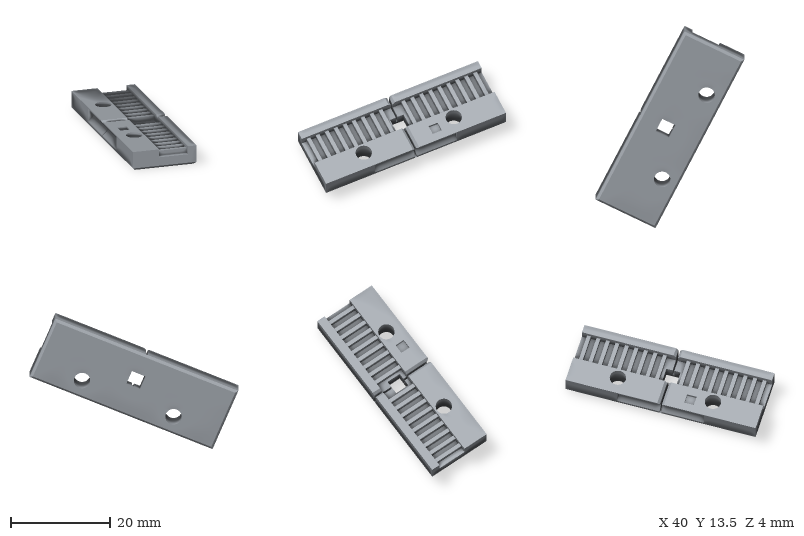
import cadquery as cq

LENGTH = 40.0
WIDTH = 13.5
HEIGHT = 4.0
BOTTOM_CHAMFER = 0.5

CHANNEL_FRONT = 5.5
CHANNEL_WIDTH = 6.2
CHANNEL_FLOOR = 2.3

TOOTH_PITCH = 2.0
TOOTH_WIDTH = 0.8
TOOTH_HEIGHT = 1.0
TEETH_PER_SIDE = 9
CENTRE_TO_FIRST_TOOTH = 2.1

SLOT_WIDTH = 0.4
SLOT_FLOOR = BOTTOM_CHAMFER
SLOT_CHAMFER = 0.5

WINDOW_SIDE = 3.0
WINDOW_Y = 7.75

HOLE_DIAMETER = 3.3
HOLE_SPACING = 20.0
HOLE_Y = 3.5

POCKET_SIDE = 2.0
POCKET_X = 5.5
POCKET_Y = 2.7
POCKET_DEPTH = 0.5

RECESS_LENGTH = 18.2
RECESS_BOTTOM = 1.0
RECESS_TOP = 3.75
RECESS_DEPTH = 1.2
BEZIER_REACH = 0.75


def box(x_start, x_end, y_start, y_end, z_start, z_end):
    """Box between the given limits."""
    return cq.Workplane("XY").box(
        x_end - x_start, y_end - y_start, z_end - z_start, centered=False
    ).translate((x_start, y_start, z_start))


def make_body():
    body = box(-LENGTH / 2, LENGTH / 2, 0, WIDTH, 0, HEIGHT)
    return body.faces("<Z").edges().chamfer(BOTTOM_CHAMFER)


def make_channel():
    channel_back = CHANNEL_FRONT + CHANNEL_WIDTH
    return box(-LENGTH / 2, LENGTH / 2, CHANNEL_FRONT, channel_back, CHANNEL_FLOOR, HEIGHT)


def make_teeth():
    tooth = box(
        0, TOOTH_WIDTH,
        CHANNEL_FRONT, CHANNEL_FRONT + CHANNEL_WIDTH,
        CHANNEL_FLOOR, CHANNEL_FLOOR + TOOTH_HEIGHT,
    )
    teeth = cq.Workplane("XY")
    for index in range(TEETH_PER_SIDE):
        offset = CENTRE_TO_FIRST_TOOTH + index * TOOTH_PITCH
        teeth = teeth.add(tooth.translate((offset, 0, 0)))
        teeth = teeth.add(tooth.translate((-offset - TOOTH_WIDTH, 0, 0)))
    return teeth.combine()


def make_slot():
    """Slot with a V-shaped, chamfered mouth at the top face."""
    half_slot = SLOT_WIDTH / 2
    half_mouth = half_slot + SLOT_CHAMFER
    mouth_bottom = HEIGHT - SLOT_CHAMFER
    return (
        cq.Workplane("XZ")
        .polyline([
            (-half_slot, SLOT_FLOOR),
            (half_slot, SLOT_FLOOR),
            (half_slot, mouth_bottom),
            (half_mouth, HEIGHT),
            (-half_mouth, HEIGHT),
            (-half_slot, mouth_bottom),
        ])
        .close()
        .extrude(-WIDTH)
    )


def make_window():
    half_side = WINDOW_SIDE / 2
    return box(-half_side, half_side, WINDOW_Y - half_side, WINDOW_Y + half_side, 0, HEIGHT)


def make_holes():
    return (
        cq.Workplane("XY")
        .pushPoints([(-HOLE_SPACING / 2, HOLE_Y), (HOLE_SPACING / 2, HOLE_Y)])
        .circle(HOLE_DIAMETER / 2)
        .extrude(HEIGHT)
    )


def make_pocket():
    half_side = POCKET_SIDE / 2
    return box(
        POCKET_X - half_side, POCKET_X + half_side,
        POCKET_Y - half_side, POCKET_Y + half_side,
        HEIGHT - POCKET_DEPTH, HEIGHT,
    )


def make_recess():
    """V-like groove along X with a smoothly curved root, open at the front face.

    The profile is a cubic Bezier curve whose two inner control points coincide.
    """
    control_point = (RECESS_DEPTH / BEZIER_REACH, (RECESS_BOTTOM + RECESS_TOP) / 2)
    return (
        cq.Workplane("YZ", origin=(-RECESS_LENGTH / 2, 0, 0))
        .bezier([(0, RECESS_BOTTOM), control_point, control_point, (0, RECESS_TOP)])
        .close()
        .extrude(RECESS_LENGTH)
    )


result = make_body().cut(make_channel()).union(make_teeth())
for cutter in (make_slot(), make_window(), make_holes(), make_pocket(), make_recess()):
    result = result.cut(cutter)